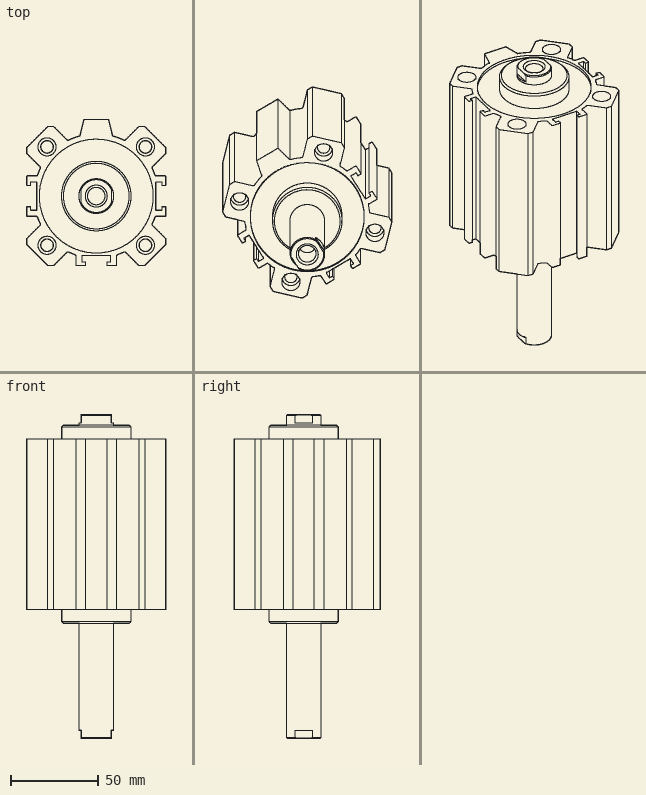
import cadquery as cq
import math

TOTAL_LENGTH = 186.0
ROD_TOP = TOTAL_LENGTH / 2
BODY_TOP = ROD_TOP - 14.0
BODY_LENGTH = 98.0
BODY_BOTTOM = BODY_TOP - BODY_LENGTH
BODY_MIDDLE = BODY_TOP - BODY_LENGTH / 2

PROFILE_WIDTH = 80.0
BARREL_DIAMETER = 71.8
LUG_ANGLES = (45, 135, 225, 315)
LUG_WIDTH = 22.0
LUG_REACH = 48.0
LUG_ROOT_FILLET = 1.0
RIB_TOP_Y = 44.0
RIB_TOP_WIDTH = 14.3
RIB_BASE_WIDTH = 19.0
RIB_BASE_Y = 34.5

SLOT_ANGLES = (0, 180, 270)
RAIL_SPAN = 23.5
RAIL_FILLET = 0.5
SLOT_WIDTH = 16.2
SLOT_MOUTH = 12.0
SLOT_FLOOR = 34.2
LIP_THICKNESS = 2.2

MOUNT_PITCH = 56.5
MOUNT_DIAMETER = 7.0
COUNTERBORE_DIAMETER = 10.5
COUNTERBORE_DEPTH = 10.0

RECESS_DIAMETER = 65.5
RECESS_DEPTH = 1.7
BOSS_DIAMETER = 40.0
BOSS_HEIGHT = 8.0
BOSS_CHAMFER = 1.1

ROD_DIAMETER = BOSS_DIAMETER / 2
ROD_CHAMFER = 0.5
FLAT_WIDTH = 17.3
FLAT_LENGTH = 4.6
ROD_HOLE_DIAMETER = 10.0
ROD_HOLE_DEPTH = 20.0
ROD_HOLE_CHAMFER = 1.3


def cylinder(diameter, bottom, top):
    """Upright cylinder on the Z axis between two heights."""
    return cq.Workplane("XY").workplane(offset=bottom).circle(diameter / 2).extrude(top - bottom)


def body_box(x_min, x_max, width):
    """Block as tall as the body, from x_min to x_max and centred on Y = 0."""
    return (
        cq.Workplane("XY")
        .box(x_max - x_min, width, BODY_LENGTH, centered=(False, True, False))
        .translate((x_min, 0, BODY_BOTTOM))
    )


def turned(shape, angle):
    return shape.rotate((0, 0, 0), (0, 0, 1), angle)


def mirrored_end(shape):
    """Copy of a feature of the upper body end, placed at the lower end."""
    return shape.mirror("XY", (0, 0, BODY_MIDDLE))


def fillet_upright_edge(shape, radius, distance, offset, angle):
    """Round the upright edge at (distance, offset) in a frame turned by angle about Z."""
    point = cq.Vertex.makeVertex(distance, offset, BODY_MIDDLE)
    point = point.rotate((0, 0, 0), (0, 0, 1), angle).toTuple()
    return shape.edges(cq.selectors.NearestToPointSelector(point)).fillet(radius)


def barrel_depth_at(offset):
    """Distance along a radial axis to the barrel surface, at a sideways offset from that axis."""
    return math.sqrt((BARREL_DIAMETER / 2) ** 2 - offset**2)


def make_barrel():
    """Round barrel with four diagonal lugs cut to a square outline."""
    barrel = cylinder(BARREL_DIAMETER, BODY_BOTTOM, BODY_TOP)
    for angle in LUG_ANGLES:
        barrel = barrel.union(turned(body_box(0, LUG_REACH, LUG_WIDTH), angle))
    barrel = barrel.intersect(body_box(-PROFILE_WIDTH / 2, PROFILE_WIDTH / 2, PROFILE_WIDTH))

    root_distance = barrel_depth_at(LUG_WIDTH / 2)
    for angle in LUG_ANGLES:
        for offset in (-LUG_WIDTH / 2, LUG_WIDTH / 2):
            barrel = fillet_upright_edge(barrel, LUG_ROOT_FILLET, root_distance, offset, angle)
    return barrel


def make_rib():
    """Tapered rib along the +Y side."""
    outline = [
        (-RIB_BASE_WIDTH / 2, 0),
        (-RIB_BASE_WIDTH / 2, RIB_BASE_Y),
        (-RIB_TOP_WIDTH / 2, RIB_TOP_Y),
        (RIB_TOP_WIDTH / 2, RIB_TOP_Y),
        (RIB_BASE_WIDTH / 2, RIB_BASE_Y),
        (RIB_BASE_WIDTH / 2, 0),
    ]
    return cq.Workplane("XY").workplane(offset=BODY_BOTTOM).polyline(outline).close().extrude(BODY_LENGTH)


def make_rails():
    """Rail pair on the +X side, solid until the slot is cut."""
    rails = body_box(0, PROFILE_WIDTH / 2, RAIL_SPAN)
    return rails.edges("|Z and >X").fillet(RAIL_FILLET)


def make_slot():
    """T-shaped slot on the +X side: wide channel behind a narrower mouth."""
    channel = body_box(SLOT_FLOOR, PROFILE_WIDTH / 2 - LIP_THICKNESS, SLOT_WIDTH)
    mouth = body_box(SLOT_FLOOR, PROFILE_WIDTH / 2, SLOT_MOUTH)
    return channel.union(mouth)


def make_mount_hole(x, y):
    """Through hole with a counterbore at each end."""
    hole = cylinder(MOUNT_DIAMETER, BODY_BOTTOM, BODY_TOP)
    counterbore = cylinder(COUNTERBORE_DIAMETER, BODY_TOP - COUNTERBORE_DEPTH, BODY_TOP)
    return hole.union(counterbore).union(mirrored_end(counterbore)).translate((x, y, 0))


def add_slots(housing):
    """Add the rails, cut the slots, then round the rail roots and the lip tips."""
    root_distance = barrel_depth_at(RAIL_SPAN / 2)
    for angle in SLOT_ANGLES:
        housing = housing.union(turned(make_rails(), angle)).cut(turned(make_slot(), angle))
        for side in (-1, 1):
            root_offset = side * RAIL_SPAN / 2
            lip_offset = side * SLOT_MOUTH / 2
            housing = fillet_upright_edge(housing, RAIL_FILLET, root_distance, root_offset, angle)
            housing = fillet_upright_edge(housing, RAIL_FILLET, PROFILE_WIDTH / 2, lip_offset, angle)
    return housing


def make_housing():
    housing = add_slots(make_barrel().union(make_rib()))

    for x in (-MOUNT_PITCH / 2, MOUNT_PITCH / 2):
        for y in (-MOUNT_PITCH / 2, MOUNT_PITCH / 2):
            housing = housing.cut(make_mount_hole(x, y))

    recess_floor = BODY_TOP - RECESS_DEPTH
    recess = cylinder(RECESS_DIAMETER, recess_floor, BODY_TOP)
    housing = housing.cut(recess).cut(mirrored_end(recess))

    boss = cylinder(BOSS_DIAMETER, recess_floor, BODY_TOP + BOSS_HEIGHT)
    boss = boss.faces(">Z").edges().chamfer(BOSS_CHAMFER)
    housing = housing.union(boss).union(mirrored_end(boss))

    rod_bore = cylinder(ROD_DIAMETER, -ROD_TOP, ROD_TOP)
    return housing.cut(rod_bore)


def make_rod_end_cut():
    """Material removed at the upper rod end: two wrench flats and a chamfered blind hole."""
    flat_bottom = ROD_TOP - FLAT_LENGTH
    flats = cylinder(2 * ROD_DIAMETER, flat_bottom, ROD_TOP)
    flats = flats.cut(
        cq.Workplane("XY")
        .box(FLAT_WIDTH, 2 * ROD_DIAMETER, FLAT_LENGTH, centered=(True, True, False))
        .translate((0, 0, flat_bottom))
    )
    hole = cylinder(ROD_HOLE_DIAMETER, ROD_TOP - ROD_HOLE_DEPTH, ROD_TOP)
    hole_radius = ROD_HOLE_DIAMETER / 2
    countersink = cq.Workplane(
        cq.Solid.makeCone(
            hole_radius,
            hole_radius + ROD_HOLE_CHAMFER,
            ROD_HOLE_CHAMFER,
            pnt=cq.Vector(0, 0, ROD_TOP - ROD_HOLE_CHAMFER),
        )
    )
    return flats.union(hole).union(countersink)


def make_rod():
    rod = cylinder(ROD_DIAMETER, -ROD_TOP, ROD_TOP)
    rod = rod.faces("<Z or >Z").edges().chamfer(ROD_CHAMFER)
    end_cut = make_rod_end_cut()
    return rod.cut(end_cut).cut(end_cut.mirror("XY"))


housing = make_housing()
rod = make_rod()

result = cq.Compound.makeCompound([housing.val(), rod.val()])